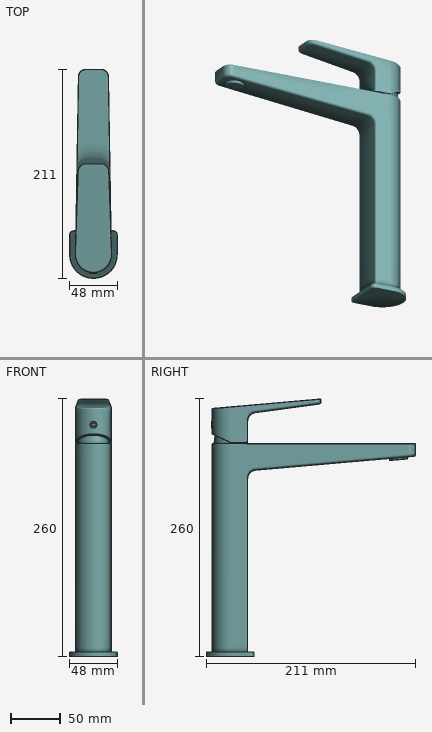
import cadquery as cq
import math


def rise(run, degrees):
    """Height gained over a horizontal run at the given slope."""
    return run * math.tan(math.radians(degrees))


COLUMN_RADIUS = 18.2
BACK_Y = 17.7
TIP_HALF_WIDTH = 15.0
TIP_CORNER_RADIUS = 7.8
ELBOW_RADIUS = 8.5
UNDERSIDE_FILLET = 2.3
TOP_FILLET = 1.0
OVERCUT = 52.0

BASE_WIDTH = 48.0
BASE_RADIUS = BASE_WIDTH / 2
BASE_THICKNESS = 4.7
BASE_CORNER_RADIUS = 4.5
BASE_TOP_FILLET = 1.0

BODY_TOP = 215.0
OVERALL_DEPTH = 211.0
SPOUT_TIP_Y = OVERALL_DEPTH - BASE_RADIUS
SPOUT_TIP_HEIGHT = 12.7
SPOUT_SLOPE = 5.0
AERATOR_RADIUS = 9.0
AERATOR_DROP = 2.0
AERATOR_Y = 169.8
AERATOR_ROOT = 2.5

CARTRIDGE_RADIUS = 16.0
CARTRIDGE_BAND = 1.8
CARTRIDGE_TOP_RADIUS = 14.5
CARTRIDGE_SHOULDER_RADIUS = 15.9
CARTRIDGE_SHOULDER = 5.0
CARTRIDGE_HEIGHT = 9.5

HANDLE_BOTTOM = 216.3
HANDLE_TIP_Y = 91.5
PEAK_Z = 260.0
HANDLE_TIP_THICKNESS = 5.0
HANDLE_TOP_SLOPE = 5.0
HANDLE_TIP_TOP = PEAK_Z + rise(TOP_FILLET, HANDLE_TOP_SLOPE)
HANDLE_UNDERSIDE_SLOPE = 7.7
HANDLE_RELIEF_ANGLE = 25.0
BUTTON_RADIUS = 3.5
BUTTON_Z = 234.0
BUTTON_PROUD = 0.8
BUTTON_ROOT = 2.5
BUTTON_DIMPLE_RADIUS = 1.8
BUTTON_DIMPLE_DEPTH = 0.8


def arm_plan(tip_y, height):
    """Round-fronted, tapering outline with rounded tip corners, from Z = 0 up to height."""
    outline = (
        cq.Workplane("XY")
        .moveTo(-COLUMN_RADIUS, 0)
        .threePointArc((0, -COLUMN_RADIUS), (COLUMN_RADIUS, 0))
        .lineTo(TIP_HALF_WIDTH, tip_y)
        .lineTo(-TIP_HALF_WIDTH, tip_y)
        .close()
    )
    tip_corners = cq.selectors.BoxSelector(
        (-OVERCUT, tip_y - TIP_CORNER_RADIUS, -OVERCUT),
        (OVERCUT, tip_y + TIP_CORNER_RADIUS, height + OVERCUT),
    )
    return outline.extrude(height).edges("|Z").edges(tip_corners).fillet(TIP_CORNER_RADIUS)


def elbow_cutter(tip_y, tip_z, slope, bottom_z):
    """Block that clears the space under an arm and behind its upright."""
    far_y = tip_y + OVERCUT
    far_z = tip_z + rise(OVERCUT, slope)
    elbow_z = tip_z - rise(tip_y - BACK_Y, slope)
    side = [(BACK_Y, bottom_z), (far_y, bottom_z), (far_y, far_z), (BACK_Y, elbow_z)]
    cutter = cq.Workplane("YZ").polyline(side).close().extrude(OVERCUT, both=True)
    elbow = cq.selectors.NearestToPointSelector((0, BACK_Y, elbow_z))
    return cutter.edges("|X").edges(elbow).fillet(ELBOW_RADIUS)


def make_base():
    """Plate with a round front, square back and softened top edge."""
    plate = (
        cq.Workplane("XY")
        .moveTo(-BASE_RADIUS, 0)
        .threePointArc((0, -BASE_RADIUS), (BASE_RADIUS, 0))
        .lineTo(BASE_RADIUS, BASE_RADIUS)
        .lineTo(-BASE_RADIUS, BASE_RADIUS)
        .close()
        .extrude(BASE_THICKNESS)
    )
    plate = plate.edges("|Z and >Y").fillet(BASE_CORNER_RADIUS)
    return plate.faces(">Z").edges().fillet(BASE_TOP_FILLET)


def make_aerator(underside_z):
    """Round outlet standing square to the sloping underside of the spout."""
    length = AERATOR_ROOT + AERATOR_DROP
    outlet = cq.Workplane("XY").workplane(offset=-AERATOR_DROP).circle(AERATOR_RADIUS).extrude(length)
    return outlet.rotate((0, 0, 0), (1, 0, 0), SPOUT_SLOPE).translate((0, AERATOR_Y, underside_z))


def make_body():
    """Column, spout and outlet in one piece."""
    tip_z = BODY_TOP - SPOUT_TIP_HEIGHT
    body = arm_plan(SPOUT_TIP_Y, BODY_TOP - BASE_THICKNESS).translate((0, 0, BASE_THICKNESS))
    cutter = elbow_cutter(SPOUT_TIP_Y, tip_z, SPOUT_SLOPE, BASE_THICKNESS - OVERCUT)
    body = body.cut(cutter)
    rear_wall = cq.selectors.NearestToPointSelector((0, BACK_Y, BODY_TOP / 2))
    body = body.faces(rear_wall).edges("not #Z").fillet(UNDERSIDE_FILLET)
    body = body.faces(">Z").edges().fillet(TOP_FILLET)
    aerator = make_aerator(tip_z - rise(SPOUT_TIP_Y - AERATOR_Y, SPOUT_SLOPE))
    return body.union(aerator)


def make_cartridge():
    """Round dome standing on the column and reaching up into the handle."""
    profile = (
        cq.Workplane("XZ")
        .lineTo(CARTRIDGE_RADIUS, 0)
        .lineTo(CARTRIDGE_RADIUS, CARTRIDGE_BAND)
        .threePointArc(
            (CARTRIDGE_SHOULDER_RADIUS, CARTRIDGE_SHOULDER),
            (CARTRIDGE_TOP_RADIUS, CARTRIDGE_HEIGHT),
        )
        .lineTo(0, CARTRIDGE_HEIGHT)
        .close()
    )
    return profile.revolve(360, (0, 0, 0), (0, 1, 0)).translate((0, 0, BODY_TOP))


def make_button():
    """Raised round button with a central dimple on the front of the handle."""
    length = BUTTON_ROOT + BUTTON_PROUD
    front = cq.Workplane("XZ", origin=(0, -COLUMN_RADIUS - BUTTON_PROUD, BUTTON_Z))
    dimple = front.circle(BUTTON_DIMPLE_RADIUS).extrude(-BUTTON_DIMPLE_DEPTH)
    return front.circle(BUTTON_RADIUS).extrude(-length).cut(dimple)


def make_handle(cartridge):
    """Lever with its button, hollowed below to fit over the cartridge."""
    underside_tip_z = HANDLE_TIP_TOP - HANDLE_TIP_THICKNESS
    front_top_z = HANDLE_TIP_TOP - rise(HANDLE_TIP_Y + COLUMN_RADIUS, HANDLE_TOP_SLOPE)
    relief_z = HANDLE_BOTTOM + rise(COLUMN_RADIUS, HANDLE_RELIEF_ANGLE)
    side = [
        (-COLUMN_RADIUS, front_top_z),
        (-COLUMN_RADIUS, relief_z),
        (0, HANDLE_BOTTOM),
        (HANDLE_TIP_Y, HANDLE_BOTTOM),
        (HANDLE_TIP_Y, HANDLE_TIP_TOP),
    ]
    block = cq.Workplane("YZ").polyline(side).close().extrude(OVERCUT, both=True)
    cutter = elbow_cutter(
        HANDLE_TIP_Y, underside_tip_z, HANDLE_UNDERSIDE_SLOPE, HANDLE_BOTTOM - OVERCUT
    )
    handle = arm_plan(HANDLE_TIP_Y, HANDLE_TIP_TOP).intersect(block).cut(cutter)
    rear_wall = cq.selectors.NearestToPointSelector((0, BACK_Y, HANDLE_BOTTOM + ELBOW_RADIUS))
    handle = handle.faces(rear_wall).edges("not #Z").fillet(UNDERSIDE_FILLET)
    top_normal = cq.Vector(0, -rise(1, HANDLE_TOP_SLOPE), 1)
    top_face = cq.selectors.DirectionMinMaxSelector(top_normal, True)
    handle = handle.faces(top_face).edges().fillet(TOP_FILLET)
    return handle.union(make_button()).cut(cartridge)


base = make_base()
body = make_body()
cartridge = make_cartridge()
handle = make_handle(cartridge)

result = cq.Compound.makeCompound([base.val(), body.val(), cartridge.val(), handle.val()])